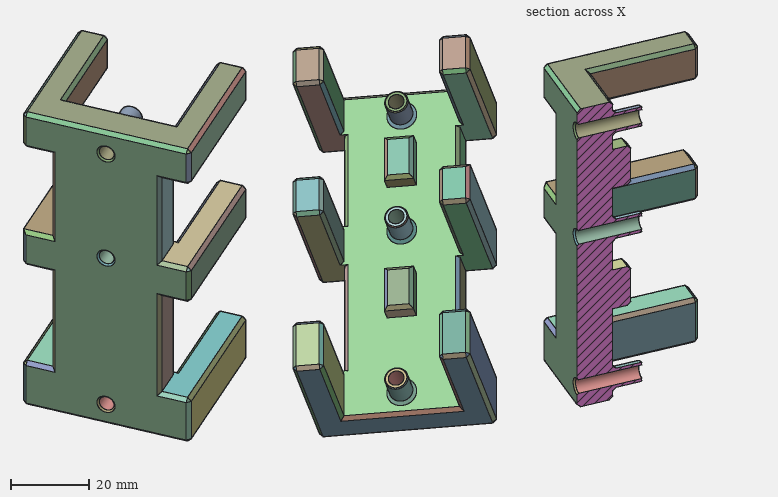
import cadquery as cq

height = 92.2
width = 46.0
depth = 40.0

arm_width = 8.0
plate_thickness = 10.0
edge_chamfer = 1.0
spine_width = width - 2 * arm_width
arm_tiers = {
    "lower": (0.0, 13.8),
    "middle": (44.1, 55.1),
    "upper": (81.2, height),
}

tolerance = 0.01

hole_diameter = 4.1
hole_chamfer = 0.5
hole_heights = (6.5, 52.6, 85.4)

stud_diameter = 6.1
stud_end = 18.0
stud_flare = 0.8
stud_tip_chamfer = 0.3

block_width = 7.6
block_length = 12.2
block_rise = 5.0
block_chamfer = 1.0
block_centers = (71.3, 34.0)


def box(x_size, y_start, y_end, z_start, z_end):
    """Box centred on x = 0."""
    return (
        cq.Workplane("XY", origin=(0, y_start, z_start))
        .box(x_size, y_end - y_start, z_end - z_start, centered=(True, False, False))
    )


def make_frame():
    """Spine carrying three U-shaped pairs of arms."""
    frame = box(spine_width, 0, plate_thickness, 0, height)
    for bottom, top in arm_tiers.values():
        tier = box(width, 0, depth, bottom, top)
        frame = frame.union(tier.cut(box(spine_width, plate_thickness, depth, bottom, top)))
    return frame.clean()


def within_tier(z):
    """True for heights covered by a pair of arms."""
    return any(bottom < z < top for bottom, top in arm_tiers.values())


def on_spine_back_corner(edge):
    """True for vertical edges where a side of the spine meets the back of the plate."""
    center = edge.Center()
    upright = edge.BoundingBox().zlen > tolerance
    return (
        upright
        and abs(center.y - plate_thickness) < tolerance
        and abs(abs(center.x) - spine_width / 2) < tolerance
    )


def on_inside_corner(edge):
    """True for edges across the spine sides, where an arm turns into the spine."""
    center = edge.Center()
    return (
        abs(abs(center.x) - spine_width / 2) < tolerance
        and abs(center.y - plate_thickness / 2) < tolerance
    )


def on_sharp_edge(edge):
    """True for the upper outer edge of the -X middle arm, the one edge left sharp."""
    center = edge.Center()
    middle_top = arm_tiers["middle"][1]
    return abs(center.x + width / 2) < tolerance and abs(center.z - middle_top) < tolerance


def bevel_edges(frame):
    """Bevel the arms and plate outline first, then the spine corners between the arms."""
    outline = [
        edge
        for edge in frame.edges().vals()
        if not (on_spine_back_corner(edge) or on_inside_corner(edge) or on_sharp_edge(edge))
    ]
    frame = frame.newObject(outline).chamfer(edge_chamfer)
    spine_corners = [
        edge
        for edge in frame.edges().vals()
        if on_spine_back_corner(edge) and not within_tier(edge.Center().z)
    ]
    return frame.newObject(spine_corners).chamfer(edge_chamfer)


def make_block(z_center):
    """Locating block with a beveled rim, rising from the back of the plate."""
    half_length = block_length / 2
    block = box(
        block_width,
        plate_thickness,
        plate_thickness + block_rise,
        z_center - half_length,
        z_center + half_length,
    )
    return block.faces(">Y").chamfer(block_chamfer)


def make_stud(z_center):
    """Stud turned about the Y axis, flared at its foot."""
    radius = stud_diameter / 2
    profile = [
        (0, plate_thickness),
        (radius + stud_flare, plate_thickness),
        (radius, plate_thickness + stud_flare),
        (radius, stud_end - stud_tip_chamfer),
        (radius - stud_tip_chamfer, stud_end),
        (0, stud_end),
    ]
    stud = cq.Workplane("XY").polyline(profile).close().revolve(360, (0, 0), (0, 1))
    return stud.translate((0, 0, z_center))


def make_hole(z_center):
    """Through hole along Y with a chamfered mouth in the front of the plate."""
    radius = hole_diameter / 2
    profile = [
        (0, 0),
        (radius + hole_chamfer, 0),
        (radius, hole_chamfer),
        (radius, depth),
        (0, depth),
    ]
    hole = cq.Workplane("XY").polyline(profile).close().revolve(360, (0, 0), (0, 1))
    return hole.translate((0, 0, z_center))


result = bevel_edges(make_frame())
for block_center in block_centers:
    result = result.union(make_block(block_center))
for hole_height in hole_heights:
    result = result.union(make_stud(hole_height))
    result = result.cut(make_hole(hole_height))